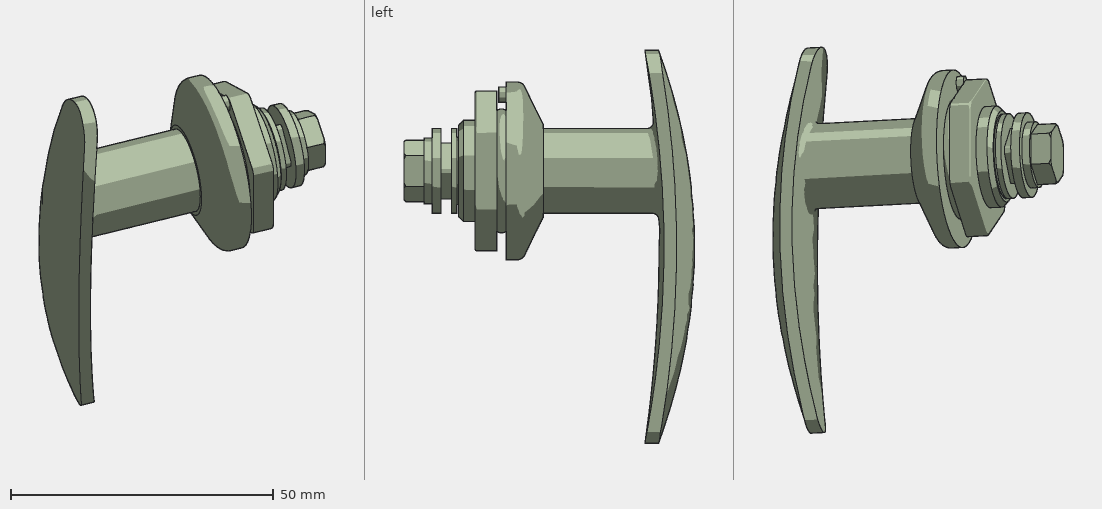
import cadquery as cq
import math


thread_radius = 9.7
thread_end = 9.1
thread_chamfer = 1.0
flange_radius = 34.0 / 2
flange_rim_end = -2.1
flange_round = 1.65
cone_angle = 64.4
cone_tip_radius = 8.85
flange_front = -7.1

pin_radius = 1.5
pin_height = 1.4
pin_offset = 14.55

nut_front = 1.7
nut_back = 5.9
nut_across_flats = 27.0
nut_corner_radius = 2.0
nut_edge_radius = 0.45
seal_edge_radius = 11.55
seal_radius = 11.85

spindle_radius = 8.1
groove_radius = 6.45
collar_front = 9.4
collar_back = 10.4
square_side = 8.25
square_corner_radius = 1.1
square_turn = 45.0
square_end = 12.4
spindle_fillet = 1.2

washer_radius = 8.1
washer_back = 14.1
bolt_flange_radius = 6.3
bolt_flange_back = 15.6
bolt_head_end = 19.5
bolt_across_flats = 10.2
bolt_chamfer = 0.4
bolt_shank_radius = 3.0
bolt_shank_tip = 3.0

wing_top = 23.0
wing_length = 75.0
wing_bottom = wing_top - wing_length
wing_middle = (wing_top + wing_bottom) / 2
wing_half_width = 10.1
wing_widest_z = -11.2
wing_side_radius = 110.25
top_cap_z = 18.2
bottom_cap_z = -48.8
front_end_y = -29.1
front_rim_rise = 3.45
front_crown = 3.45
back_end_y = -26.5
back_rim_rise = 3.7
back_crown = -1.0
spindle_front = -30.75
surface_overhang = 1.1
surface_steps = 16
surface_tolerance = 0.01


def turned(points):
    """Solid turned about the Y axis from (radius, y) points."""
    return cq.Workplane("XY").polyline(points).close().revolve(360, (0, 0, 0), (0, 1, 0))


def plane_at(y):
    """Workplane facing +Y at height y, with its own x axis along +Z."""
    return cq.Workplane(cq.Plane(origin=(0, y, 0), xDir=(0, 0, 1), normal=(0, 1, 0)))


def rod(radius, start, end):
    """Cylinder on the Y axis between two heights."""
    return plane_at(start).circle(radius).extrude(end - start)


def hexagon(across_flats, start, end):
    """Hexagonal prism on the Y axis with corners at +Z and -Z."""
    return plane_at(start).polygon(6, across_flats / math.cos(math.pi / 6)).extrude(end - start)


def make_housing():
    """Flange with a conical front, threaded neck, spindle bore and locating pin."""
    angle = math.radians(cone_angle)
    round_end = (
        flange_radius - flange_round * (1 - math.cos(angle)),
        flange_rim_end - flange_round * math.sin(angle),
    )
    round_middle = (
        flange_radius - flange_round * (1 - math.cos(angle / 2)),
        flange_rim_end - flange_round * math.sin(angle / 2),
    )
    profile = (
        cq.Workplane("XY")
        .moveTo(spindle_radius, flange_front)
        .lineTo(spindle_radius, thread_end)
        .lineTo(thread_radius - thread_chamfer, thread_end)
        .lineTo(thread_radius, thread_end - thread_chamfer)
        .lineTo(thread_radius, 0)
        .lineTo(flange_radius, 0)
        .lineTo(flange_radius, flange_rim_end)
        .threePointArc(round_middle, round_end)
        .lineTo(cone_tip_radius, flange_front)
        .close()
    )
    body = profile.revolve(360, (0, 0, 0), (0, 1, 0))
    pin = plane_at(0).center(pin_offset, 0).circle(pin_radius).extrude(pin_height)
    return body.union(pin)


def make_seal():
    """Sealing ring squeezed between the flange and the nut, bulging outwards."""
    profile = (
        cq.Workplane("XY")
        .moveTo(thread_radius, 0)
        .lineTo(seal_edge_radius, 0)
        .threePointArc((seal_radius, nut_front / 2), (seal_edge_radius, nut_front))
        .lineTo(thread_radius, nut_front)
        .close()
    )
    return profile.revolve(360, (0, 0, 0), (0, 1, 0))


def make_nut():
    """Hexagonal nut with rounded corners and a rounded rear edge."""
    nut = hexagon(nut_across_flats, nut_front, nut_back)
    nut = nut.edges("|Y").fillet(nut_corner_radius)
    nut = nut.faces(">Y").edges().fillet(nut_edge_radius)
    return nut.cut(rod(thread_radius, nut_front, nut_back))


def wing_width_at(z):
    """Half width of the wing's arc-shaped sides at height z."""
    rise = z - wing_widest_z
    return wing_half_width - wing_side_radius + math.sqrt(wing_side_radius**2 - rise**2)


def wing_face(end_y, rim_rise, crown):
    """Face bowed along Z by rim_rise at the rim, and by crown more on the centre line."""
    rows = []
    for i in range(surface_steps + 1):
        along = surface_overhang * (2 * i / surface_steps - 1)
        z = wing_middle + along * wing_length / 2
        row = []
        for j in range(surface_steps + 1):
            across = surface_overhang * (2 * j / surface_steps - 1)
            bow = rim_rise + crown * (1 - across**2)
            y = end_y - (1 - along**2) * bow
            row.append(cq.Vector(across * wing_width_at(z), y, z))
        rows.append(row)
    return cq.Face.makeSplineApprox(rows, tol=surface_tolerance)


def make_wing():
    """Curved grip: the outline between the bowed front and back faces."""
    top_width = wing_width_at(top_cap_z)
    bottom_width = wing_width_at(bottom_cap_z)
    depth = 2 * wing_half_width
    outline = (
        cq.Workplane("XZ", origin=(0, spindle_front + depth, 0))
        .moveTo(-top_width, top_cap_z)
        .threePointArc((0, wing_top), (top_width, top_cap_z))
        .threePointArc((wing_half_width, wing_widest_z), (bottom_width, bottom_cap_z))
        .threePointArc((0, wing_bottom), (-bottom_width, bottom_cap_z))
        .threePointArc((-wing_half_width, wing_widest_z), (-top_width, top_cap_z))
        .close()
        .extrude(2 * depth)
    )
    front = wing_face(front_end_y, front_rim_rise, front_crown)
    back = wing_face(back_end_y, back_rim_rise, back_crown)
    behind_front = cq.Solid.extrudeLinear(front, cq.Vector(0, depth, 0))
    ahead_of_back = cq.Solid.extrudeLinear(back, cq.Vector(0, -depth, 0))
    return outline.intersect(cq.Workplane(behind_front)).intersect(cq.Workplane(ahead_of_back))


def make_handle():
    """Wing, spindle, grooved collar and square drive in one piece, with a hole for the bolt."""
    shaft = rod(spindle_radius, spindle_front, thread_end)
    handle = make_wing().union(shaft)
    reach = spindle_radius + spindle_fillet
    around_root = cq.selectors.BoxSelector((-reach, spindle_front, -reach), (reach, back_end_y, reach))
    handle = handle.edges(around_root).fillet(spindle_fillet)
    square = (
        plane_at(collar_back)
        .rect(square_side, square_side)
        .extrude(square_end - collar_back)
        .edges("|Y")
        .fillet(square_corner_radius)
        .rotate((0, 0, 0), (0, 1, 0), square_turn)
    )
    handle = handle.union(rod(groove_radius, thread_end, collar_front))
    handle = handle.union(rod(spindle_radius, collar_front, collar_back))
    handle = handle.union(square)
    return handle.cut(rod(bolt_shank_radius, bolt_shank_tip, square_end))


def make_washer():
    """Flat washer between the square drive and the bolt flange."""
    disc = rod(washer_radius, square_end, washer_back)
    return disc.cut(rod(bolt_shank_radius, square_end, washer_back))


def make_bolt():
    """Flanged hexagon bolt with a plain shank."""
    corner_radius = bolt_across_flats / math.sqrt(3)
    head = hexagon(bolt_across_flats, bolt_flange_back, bolt_head_end)
    chamfer_cone = turned([
        (0, bolt_flange_back),
        (corner_radius, bolt_flange_back),
        (corner_radius, bolt_head_end - bolt_chamfer),
        (corner_radius - bolt_chamfer, bolt_head_end),
        (0, bolt_head_end),
    ])
    head = head.intersect(chamfer_cone)
    flange = rod(bolt_flange_radius, washer_back, bolt_flange_back)
    shank = rod(bolt_shank_radius, bolt_shank_tip, washer_back)
    return head.union(flange).union(shank)


housing = make_housing()
seal = make_seal()
nut = make_nut()
handle = make_handle()
washer = make_washer()
bolt = make_bolt()

result = cq.Compound.makeCompound(
    [housing.val(), seal.val(), nut.val(), handle.val(), washer.val(), bolt.val()]
)